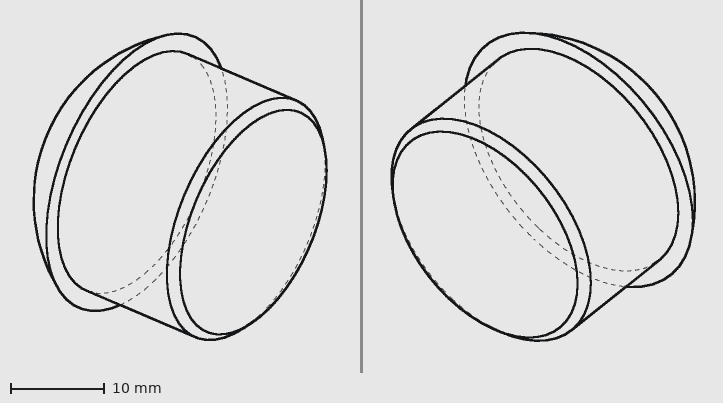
import cadquery as cq
import math

total_length = 24.92
rim_diameter = 31.5
plug_diameter = 27.5
plug_length = 15.78
chamfer_size = 1.0

rim_radius = rim_diameter / 2
dome_height = total_length - plug_length

sphere_radius = (rim_radius**2 + dome_height**2) / (2 * dome_height)
sphere_center_x = sphere_radius - dome_height

half_arc_angle = math.asin(rim_radius / sphere_radius) / 2
arc_middle = (
    sphere_center_x - sphere_radius * math.cos(half_arc_angle),
    sphere_radius * math.sin(half_arc_angle),
)

dome = (
    cq.Workplane("XY")
    .moveTo(-dome_height, 0)
    .threePointArc(arc_middle, (0, rim_radius))
    .lineTo(0, 0)
    .close()
    .revolve(360, (0, 0, 0), (1, 0, 0))
)

plug = (
    cq.Workplane("YZ")
    .circle(plug_diameter / 2)
    .extrude(plug_length)
    .faces(">X")
    .chamfer(chamfer_size)
)

result = dome.union(plug)